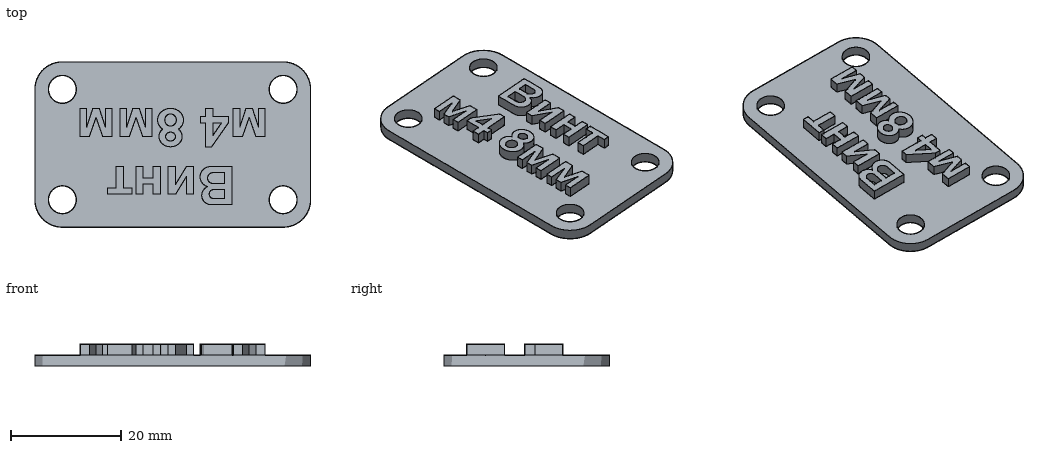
import cadquery as cq

plate_length = 50.0
plate_width = 30.0
plate_thickness = 2.0
corner_radius = 5.0
hole_diameter = 5.0

letter_height = 2.0
cap_height = 6.9
small_height = 5.0
stem = 1.35
bar = 1.1
upper_baseline = 4.0
lower_baseline = -6.5

ve_left = -10.75
i_left = -3.8
en_left = 2.2
te_left = 7.35
em_lefts = (-16.75, 3.75, 11.0)
four_left = -10.1
eight_middle = 0.4


def raise_outline(points):
    return cq.Workplane("XY").polyline(points).close().extrude(letter_height)


def block(left, bottom, right, top):
    return raise_outline([(left, bottom), (right, bottom), (right, top), (left, top)])


def oval(middle_height, half_width, half_height):
    return cq.Workplane("XY").center(0, middle_height).ellipse(half_width, half_height).extrude(letter_height)


def bowl(left, bottom, right, top):
    """Block with a straight left side and a rounded right side."""
    bend_start = right - (top - bottom) / 2
    return (
        cq.Workplane("XY")
        .moveTo(left, bottom)
        .lineTo(bend_start, bottom)
        .threePointArc((right, (bottom + top) / 2), (bend_start, top))
        .lineTo(left, top)
        .close()
        .extrude(letter_height)
    )


def letter_ve():
    """Capital letter with two closed bowls, the lower one wider."""
    lower_right = 5.8
    upper_right = 5.5
    waist = 3.6
    waist_overlap = 0.1
    middle_bar_bottom = 3.05
    middle_bar_top = middle_bar_bottom + bar
    body = bowl(0, 0, lower_right, waist + waist_overlap)
    body = body.union(bowl(0, waist - waist_overlap, upper_right, cap_height))
    lower_counter = bowl(stem, bar, lower_right - stem, middle_bar_bottom)
    upper_counter = bowl(stem, middle_bar_top, upper_right - stem, cap_height - bar)
    return body.cut(lower_counter).cut(upper_counter)


def letter_i():
    """Two stems joined by a rising diagonal."""
    width = 4.65
    diagonal_low = 1.8
    diagonal_high = small_height - diagonal_low
    return raise_outline([
        (0, 0), (stem, 0), (width - stem, diagonal_high), (width - stem, 0), (width, 0),
        (width, small_height), (width - stem, small_height), (stem, diagonal_low),
        (stem, small_height), (0, small_height),
    ])


def letter_en():
    """Two stems joined by a level bar."""
    width = 4.5
    bar_bottom = 2.05
    left_stem = block(0, 0, stem, small_height)
    right_stem = block(width - stem, 0, width, small_height)
    return left_stem.union(right_stem).union(block(0, bar_bottom, width, bar_bottom + bar))


def letter_te():
    """A central stem under a level bar."""
    width = 4.5
    upright = block((width - stem) / 2, 0, (width + stem) / 2, small_height)
    return upright.union(block(0, small_height - bar, width, small_height))


def letter_em():
    """Two stems joined by a pointed valley with a flat foot."""
    width = 5.8
    outer_stem = 1.2
    shoulder = 1.7
    notch_height = 3.35
    valley_height = 1.6
    foot_left = 2.3
    return raise_outline([
        (0, 0), (outer_stem, 0), (outer_stem, notch_height), (foot_left, 0),
        (width - foot_left, 0), (width - outer_stem, notch_height), (width - outer_stem, 0),
        (width, 0), (width, small_height), (width - shoulder, small_height),
        (width / 2, valley_height), (shoulder, small_height), (0, small_height),
    ])


def digit_four():
    """Stem, crossbar and diagonal around a triangular opening."""
    width = 5.1
    stem_left = 2.85
    stem_right = stem_left + stem
    diagonal_top = 3.05
    bar_bottom = 1.45
    bar_top = bar_bottom + bar
    opening_left = 1.25
    opening_top = 4.9
    body = raise_outline([
        (0, bar_bottom), (stem_left, bar_bottom), (stem_left, 0), (stem_right, 0),
        (stem_right, bar_bottom), (width, bar_bottom), (width, bar_top), (stem_right, bar_top),
        (stem_right, cap_height), (diagonal_top, cap_height), (0, bar_top),
    ])
    opening = raise_outline([(opening_left, bar_top), (stem_left, bar_top), (stem_left, opening_top)])
    return body.cut(opening)


def digit_eight():
    """Two overlapping ovals, each with an oval opening."""
    lower_middle = 2.05
    lower_half_width = 2.35
    upper_middle = 5.05
    upper_half_width = 2.1
    baseline_overshoot = 0.05
    lower_opening = oval(lower_middle, 1.05, 1.1)
    upper_opening = oval(upper_middle, 0.9, 0.8)
    body = oval(lower_middle, lower_half_width, lower_middle + baseline_overshoot)
    body = body.union(oval(upper_middle, upper_half_width, cap_height - upper_middle))
    return body.cut(lower_opening).cut(upper_opening)


def make_plate():
    hole_span_x = plate_length - 2 * corner_radius
    hole_span_y = plate_width - 2 * corner_radius
    return (
        cq.Workplane("XY")
        .rect(plate_length, plate_width)
        .extrude(plate_thickness)
        .edges("|Z")
        .fillet(corner_radius)
        .faces(">Z")
        .workplane()
        .rect(hole_span_x, hole_span_y, forConstruction=True)
        .vertices()
        .hole(hole_diameter)
    )


placed_characters = [
    (letter_ve(), ve_left, upper_baseline),
    (letter_i(), i_left, upper_baseline),
    (letter_en(), en_left, upper_baseline),
    (letter_te(), te_left, upper_baseline),
    (digit_four(), four_left, lower_baseline),
    (digit_eight(), eight_middle, lower_baseline),
]
for em_left in em_lefts:
    placed_characters.append((letter_em(), em_left, lower_baseline))

result = make_plate()
for character, left, baseline in placed_characters:
    seated = character.translate((left, baseline, plate_thickness))
    result = result.union(seated.rotate((0, 0, 0), (0, 0, 1), 180))